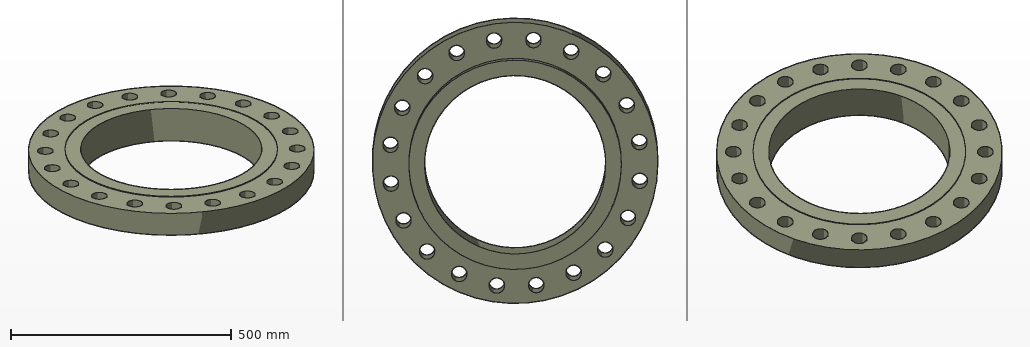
import cadquery as cq

flange_diameter = 648.0
total_height = 82.0
bore_diameter = 410.5

face_diameter = 482.0
face_height = 2.0
hub_diameter = 482.0
hub_height = 24.5
flange_thickness = total_height - face_height - hub_height

bolt_count = 20
bolt_circle_diameter = 571.0
bolt_hole_diameter = 35.0
first_bolt_angle = 360 / bolt_count / 2


def disc(diameter, bottom, height):
    """Solid disc on the Z axis, rising from the given level."""
    return cq.Workplane("XY").workplane(offset=bottom).circle(diameter / 2).extrude(height)


hub = disc(hub_diameter, 0, hub_height)
flange = disc(flange_diameter, hub_height, flange_thickness)
raised_face = disc(face_diameter, hub_height + flange_thickness, face_height)
body = hub.union(flange).union(raised_face)

bore = disc(bore_diameter, 0, total_height)
bolt_holes = (
    cq.Workplane("XY")
    .polarArray(bolt_circle_diameter / 2, first_bolt_angle, 360, bolt_count)
    .circle(bolt_hole_diameter / 2)
    .extrude(total_height)
)

result = body.cut(bore).cut(bolt_holes)